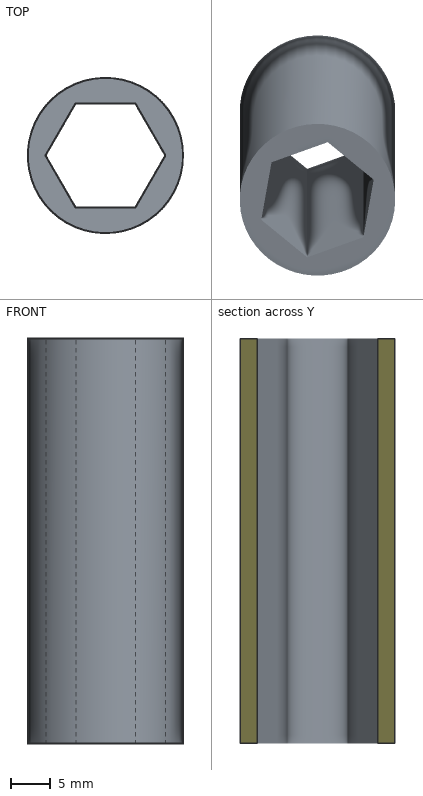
import cadquery as cq
import math

outer_diameter = 19.5
length = 50.8
hex_across_flats = 13.0

hex_across_corners = hex_across_flats / math.cos(math.radians(30))


def sleeve_body():
    """Plain cylinder standing on the XY plane, axis along Z."""
    return cq.Workplane("XY").circle(outer_diameter / 2).extrude(length)


def hex_bore():
    """Hexagonal prism that runs the full length of the sleeve."""
    return cq.Workplane("XY").polygon(6, hex_across_corners).extrude(length)


result = sleeve_body().cut(hex_bore())